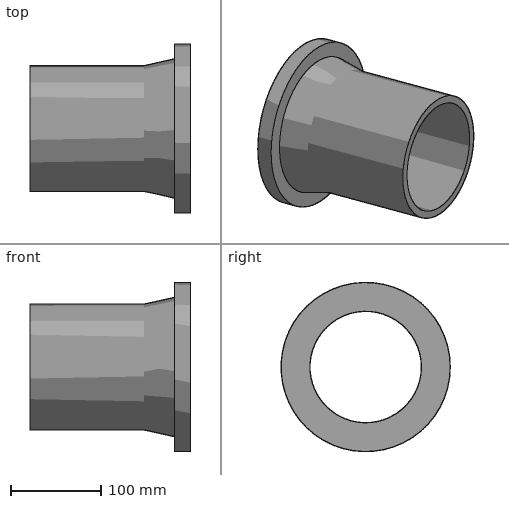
import cadquery as cq

total_length = 178.5
flange_diameter = 188.0
flange_thickness = 18.0
pipe_diameter = 140.0
bore_diameter = 123.4
neck_length = 33.5
neck_end_diameter = 155.0

flange_start = total_length - flange_thickness
neck_start = flange_start - neck_length


def make_disc(start, length, diameter):
    """Solid cylinder along +X from the given start position."""
    return cq.Workplane("YZ", origin=(start, 0, 0)).circle(diameter / 2).extrude(length)


def make_neck():
    """Tapered transition from the pipe diameter up to the flange face."""
    return (
        cq.Workplane("YZ", origin=(neck_start, 0, 0))
        .circle(pipe_diameter / 2)
        .workplane(offset=neck_length)
        .circle(neck_end_diameter / 2)
        .loft()
    )


pipe = make_disc(0, neck_start, pipe_diameter)
flange = make_disc(flange_start, flange_thickness, flange_diameter)
bore = make_disc(0, total_length, bore_diameter)

result = pipe.union(make_neck()).union(flange).cut(bore)